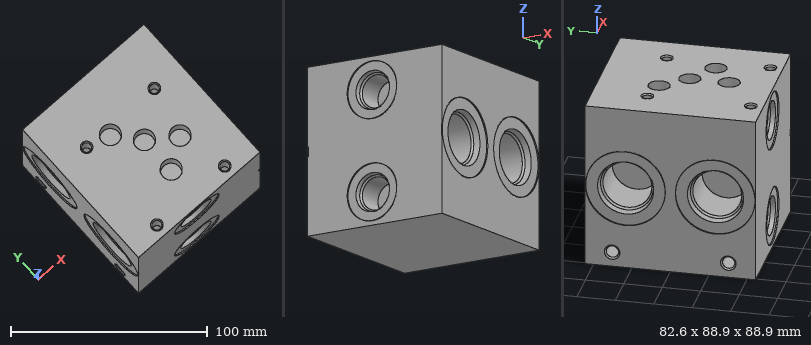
import cadquery as cq
import math

WIDTH = 82.6
DEPTH = 88.9
HEIGHT = 88.9
SIDE_X = WIDTH / 2
FRONT_Y = -DEPTH / 2
TOP_Z = HEIGHT / 2

SPOTFACE_DEPTH = 0.7
STEP_LENGTH = 1.0

WORK_SPOTFACE_DIA = 30.2
WORK_ENTRY_DIA = 20.45
WORK_SEAT_DIA = 19.2
WORK_BORE_DIA = 17.3
WORK_SEAT_LENGTH = 2.5
WORK_PORT_DEPTH = 18.5
WORK_PORT_X = -1.6
WORK_PORT_Z = 26.85

MAIN_SPOTFACE_DIA = 41.4
MAIN_ENTRY_DIA = 29.2
MAIN_SEAT_DIA = 27.5
MAIN_BORE_DIA = 25.4
MAIN_SEAT_LENGTH = 3.2
MAIN_PORT_DEPTH = 26.7
MAIN_PORT_Y = 23.4

PASSAGE_DIA = 11.2
PASSAGE_DEPTH = 11.1
PASSAGE_CENTRES = [(-9.7, 12.7), (1.5, -0.7), (16.5, -11.0), (1.5, -21.25)]

DRILL_POINT_ANGLE = 118.0
VALVE_HOLE_DIA = 5.0
VALVE_HOLE_MOUTH_DIA = 6.4
VALVE_HOLE_DEPTH = 13.3
VALVE_HOLE_X = 23.0
VALVE_HOLE_BACK_Y = 15.9
VALVE_HOLE_FRONT_Y = -38.0

MOUNT_HOLE_DIA = 6.4
MOUNT_HOLE_MOUTH_DIA = 8.0
MOUNT_HOLE_DEPTH = 16.0
MOUNT_HOLE_Y = 30.2
MOUNT_HOLE_Z = -36.45


def turned_cutter(profile, plane):
    """Revolve (radius, depth) points about the inward normal of a face plane."""
    points = [(radius, -depth) for radius, depth in profile]
    cutter = cq.Workplane("XZ").polyline(points).close().revolve(360, (0, 0), (0, 1)).val()
    return cutter.moved(cq.Location(plane))


def side_plane(side, y, z):
    """Left face for side -1, right face for side +1."""
    return cq.Plane(origin=(side * SIDE_X, y, z), xDir=(0, side, 0), normal=(side, 0, 0))


def front_plane(x, z):
    return cq.Plane(origin=(x, FRONT_Y, z), xDir=(1, 0, 0), normal=(0, -1, 0))


def top_plane(x, y):
    return cq.Plane(origin=(x, y, TOP_Z), xDir=(1, 0, 0), normal=(0, 0, 1))


def port(plane, spotface_dia, entry_dia, seat_dia, bore_dia, seat_length, depth):
    seat_end = SPOTFACE_DEPTH + seat_length
    step_end = seat_end + STEP_LENGTH
    profile = [
        (0, 0),
        (spotface_dia / 2, 0),
        (spotface_dia / 2, SPOTFACE_DEPTH),
        (entry_dia / 2, SPOTFACE_DEPTH),
        (seat_dia / 2, seat_end),
        (bore_dia / 2, step_end),
        (bore_dia / 2, depth),
        (0, depth),
    ]
    return turned_cutter(profile, plane)


def work_port(z):
    return port(
        front_plane(WORK_PORT_X, z), WORK_SPOTFACE_DIA, WORK_ENTRY_DIA, WORK_SEAT_DIA,
        WORK_BORE_DIA, WORK_SEAT_LENGTH, WORK_PORT_DEPTH,
    )


def main_port(side, y):
    return port(
        side_plane(side, y, 0), MAIN_SPOTFACE_DIA, MAIN_ENTRY_DIA, MAIN_SEAT_DIA,
        MAIN_BORE_DIA, MAIN_SEAT_LENGTH, MAIN_PORT_DEPTH,
    )


def passage(x, y):
    radius = PASSAGE_DIA / 2
    profile = [(0, 0), (radius, 0), (radius, PASSAGE_DEPTH), (0, PASSAGE_DEPTH)]
    return turned_cutter(profile, top_plane(x, y))


def drilled_hole(plane, dia, mouth_dia, depth):
    radius = dia / 2
    mouth_radius = mouth_dia / 2
    point_length = radius / math.tan(math.radians(DRILL_POINT_ANGLE / 2))
    profile = [
        (0, 0),
        (mouth_radius, 0),
        (radius, mouth_radius - radius),
        (radius, depth),
        (0, depth + point_length),
    ]
    return turned_cutter(profile, plane)


cutters = [work_port(z) for z in (-WORK_PORT_Z, WORK_PORT_Z)]
cutters += [main_port(side, y) for side in (-1, 1) for y in (-MAIN_PORT_Y, MAIN_PORT_Y)]
cutters += [passage(x, y) for x, y in PASSAGE_CENTRES]

for x in (-VALVE_HOLE_X, VALVE_HOLE_X):
    for y in (VALVE_HOLE_FRONT_Y, VALVE_HOLE_BACK_Y):
        cutters.append(
            drilled_hole(top_plane(x, y), VALVE_HOLE_DIA, VALVE_HOLE_MOUTH_DIA, VALVE_HOLE_DEPTH)
        )

for y in (-MOUNT_HOLE_Y, MOUNT_HOLE_Y):
    cutters.append(
        drilled_hole(
            side_plane(-1, y, MOUNT_HOLE_Z), MOUNT_HOLE_DIA, MOUNT_HOLE_MOUTH_DIA, MOUNT_HOLE_DEPTH
        )
    )

result = cq.Workplane("XY").box(WIDTH, DEPTH, HEIGHT)
for cutter in cutters:
    result = result.cut(cq.Workplane(obj=cutter))